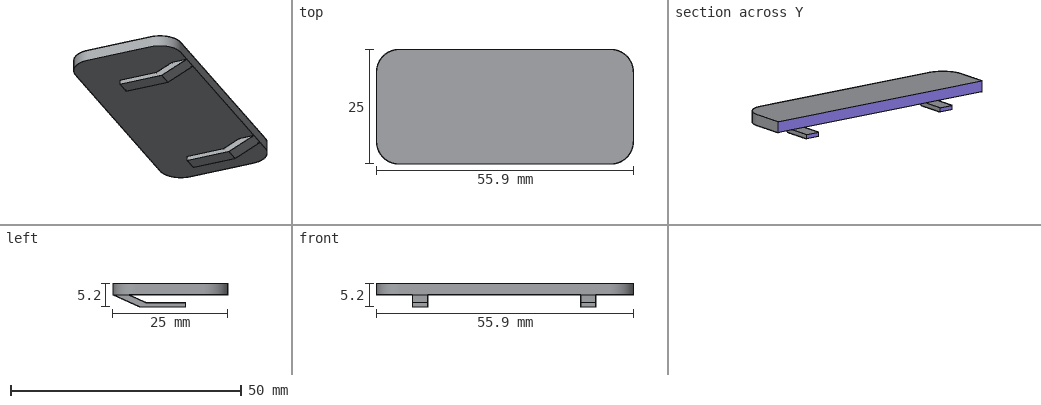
import cadquery as cq


plate_length = 55.9
plate_width = 25.0
plate_thickness = 2.5
corner_radius = 5.0

clip_width = 3.35
clip_inset = 7.8
clip_spacing = 36.55
clip_drop = 2.7
clip_reach = 15.8
bar_thickness = 1.0
outer_bend_reach = 5.9
inner_bend_reach = 7.2

back_y = plate_width / 2
bar_top_z = bar_thickness - clip_drop

slope_run_per_drop = outer_bend_reach / clip_drop
inner_root_reach = inner_bend_reach + bar_top_z * slope_run_per_drop


def make_plate():
    return (
        cq.Workplane("XY")
        .rect(plate_length, plate_width)
        .extrude(plate_thickness)
        .edges("|Z")
        .fillet(corner_radius)
    )


def make_clip(start_x):
    """Bent clip whose -X side lies at start_x."""
    profile = [
        (back_y, 0),
        (back_y - outer_bend_reach, -clip_drop),
        (back_y - clip_reach, -clip_drop),
        (back_y - clip_reach, bar_top_z),
        (back_y - inner_bend_reach, bar_top_z),
        (back_y - inner_root_reach, 0),
    ]
    return cq.Workplane("YZ", origin=(start_x, 0, 0)).polyline(profile).close().extrude(clip_width)


first_clip_x = clip_inset - plate_length / 2

result = make_plate()
for clip_x in (first_clip_x, first_clip_x + clip_spacing):
    result = result.union(make_clip(clip_x))